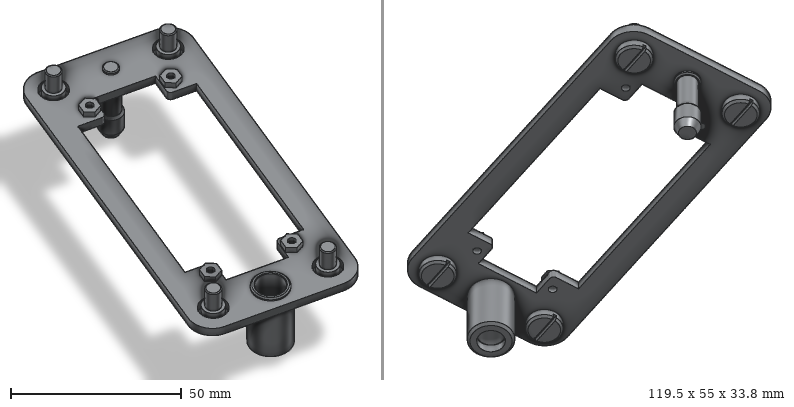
import cadquery as cq

plate_length = 119.5
plate_width = 55.0
plate_thickness = 3.0
corner_radius = 8.0

window_length = 68.6
window_width = 39.1
side_notch_span = 85.2
side_notch_width = 20.5
ear_fillet = 1.4

fixing_x = 51.1
screw_y = 18.9
nut_x = 38.7
nut_y = 13.4

clearance_hole_diameter = 9.2
shank_diameter = 5.0
shank_height = 8.0
shank_chamfer = 0.4
shoulder_diameter = 7.2
shoulder_height = 1.0
head_diameter = 11.0
head_height = 3.0
head_chamfer = 0.7
slot_width = 1.1
slot_depth = 1.7

nut_across_corners = 6.6
nut_height = 2.0
nut_hole_diameter = 2.5

pin_end_diameter = 5.0
pin_end_height = 1.0
pin_end_chamfer = 0.4
pin_flange_diameter = 8.0
pin_flange_depth = 1.1
pin_flange_chamfer = 0.5
pin_neck_diameter = 6.5
pin_neck_depth = 13.4
pin_nose_diameter = 8.0
pin_nose_start = 14.2
pin_taper_start = 20.2
pin_tip_diameter = 5.3
pin_depth = 22.8

bushing_diameter = 14.0
bushing_depth = 19.7
bushing_chamfer = 0.8
bushing_rim_diameter = 12.0
bushing_rim_height = 1.0
bushing_rim_chamfer = 0.5
bore_diameter = 9.3
bore_chamfer = 0.2
bore_end_diameter = 8.4
bore_end_length = 3.0

underside = -plate_thickness


def cylinder(diameter, bottom, top):
    """Cylinder on the Z axis between two heights."""
    return cq.Workplane("XY").workplane(offset=bottom).circle(diameter / 2).extrude(top - bottom)


def revolved(profile):
    """Solid of revolution about the Z axis from (radius, height) points."""
    return cq.Workplane("XZ").polyline(profile).close().revolve(360, (0, 0, 0), (0, 1, 0))


def at_corners(x, y):
    """Four points placed symmetrically about the plate centre."""
    return [(sx * x, sy * y) for sx in (-1, 1) for sy in (-1, 1)]


def slab(length, width):
    """Rectangular block as thick as the plate."""
    return cq.Workplane("XY").workplane(offset=underside).rect(length, width).extrude(plate_thickness)


def make_plate():
    opening = slab(window_length, window_width).union(slab(side_notch_span, side_notch_width))
    for x, y in at_corners(window_length / 2, side_notch_width / 2):
        ear_corner = cq.selectors.NearestToPointSelector((x, y, underside / 2))
        opening = opening.edges(ear_corner).fillet(ear_fillet)
    plate = slab(plate_length, plate_width).edges("|Z").fillet(corner_radius).cut(opening)
    clearance_hole = cylinder(clearance_hole_diameter, underside, 0)
    for x, y in at_corners(fixing_x, screw_y):
        plate = plate.cut(clearance_hole.translate((x, y, 0)))
    return plate


def make_screw():
    head_bottom = underside - head_height
    head = cylinder(head_diameter, head_bottom, underside).faces("<Z").chamfer(head_chamfer)
    slot = cq.Workplane("XY").box(head_diameter, slot_width, slot_depth, centered=(True, True, False))
    head = head.cut(slot.translate((0, 0, head_bottom)))
    shoulder = cylinder(shoulder_diameter, underside, shoulder_height)
    shank = cylinder(shank_diameter, shoulder_height, shank_height).faces(">Z").chamfer(shank_chamfer)
    return head.union(shoulder).union(shank)


def make_nut():
    return cq.Workplane("XY").polygon(6, nut_across_corners).extrude(nut_height)


def make_guide_pin():
    """Pin through the plate with a flange, a slim neck and a tapered nose."""
    flange_bottom = underside - pin_flange_depth
    return revolved([
        (0, pin_end_height),
        (pin_end_diameter / 2 - pin_end_chamfer, pin_end_height),
        (pin_end_diameter / 2, pin_end_height - pin_end_chamfer),
        (pin_end_diameter / 2, underside),
        (pin_flange_diameter / 2, underside),
        (pin_flange_diameter / 2, flange_bottom + pin_flange_chamfer),
        (pin_flange_diameter / 2 - pin_flange_chamfer, flange_bottom),
        (pin_neck_diameter / 2, flange_bottom),
        (pin_neck_diameter / 2, underside - pin_neck_depth),
        (pin_nose_diameter / 2, underside - pin_nose_start),
        (pin_nose_diameter / 2, underside - pin_taper_start),
        (pin_tip_diameter / 2, underside - pin_depth),
        (0, underside - pin_depth),
    ])


def make_bushing():
    sleeve = cylinder(bushing_diameter, underside - bushing_depth, underside)
    sleeve = sleeve.faces("<Z").chamfer(bushing_chamfer)
    rim = cylinder(bushing_rim_diameter, underside, bushing_rim_height)
    rim = rim.faces(">Z").chamfer(bushing_rim_chamfer)
    return sleeve.union(rim)


def make_bore():
    """Bore with a chamfered mouth that narrows through a 45 degree seat near its lower end."""
    bottom = underside - bushing_depth
    seat = bottom + bore_end_length
    radius = bore_diameter / 2
    end_radius = bore_end_diameter / 2
    return revolved([
        (0, bushing_rim_height),
        (radius + bore_chamfer, bushing_rim_height),
        (radius, bushing_rim_height - bore_chamfer),
        (radius, seat + radius - end_radius),
        (end_radius, seat),
        (end_radius, bottom),
        (0, bottom),
    ])


result = make_plate()

screw = make_screw()
for x, y in at_corners(fixing_x, screw_y):
    result = result.union(screw.translate((x, y, 0)))

nut = make_nut()
nut_hole = cylinder(nut_hole_diameter, underside, nut_height)
for x, y in at_corners(nut_x, nut_y):
    result = result.union(nut.translate((x, y, 0)))
    result = result.cut(nut_hole.translate((x, y, 0)))

result = result.union(make_guide_pin().translate((-fixing_x, 0, 0)))
result = result.union(make_bushing().translate((fixing_x, 0, 0)))
result = result.cut(make_bore().translate((fixing_x, 0, 0)))